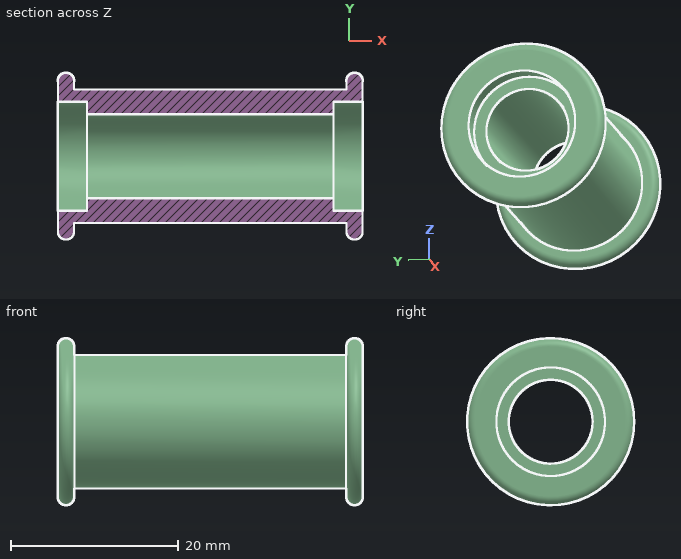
import cadquery as cq

length = 36.5
flange_diameter = 20.0
flange_thickness = 2.0
rim_radius = flange_thickness / 2
tube_diameter = 16.0
bore_diameter = 10.0
seat_diameter = 13.0
seat_depth = 3.5


def cylinder_along_x(diameter, start, span):
    """Solid cylinder on the X axis, beginning at X = start."""
    return cq.Workplane("YZ", origin=(start, 0, 0)).circle(diameter / 2).extrude(span)


def rounded_flange(start):
    """Disc whose rim is a half circle in section."""
    rim_start = flange_diameter / 2 - rim_radius
    return (
        cq.Workplane("XY")
        .moveTo(start, 0)
        .lineTo(start, rim_start)
        .threePointArc(
            (start + rim_radius, flange_diameter / 2),
            (start + flange_thickness, rim_start),
        )
        .lineTo(start + flange_thickness, 0)
        .close()
        .revolve(360, (0, 0, 0), (1, 0, 0))
    )


left_end = -length / 2
right_end = length / 2

result = cylinder_along_x(tube_diameter, left_end, length)
for flange_start in (left_end, right_end - flange_thickness):
    result = result.union(rounded_flange(flange_start))

result = result.cut(cylinder_along_x(bore_diameter, left_end, length))
for seat_start in (left_end, right_end - seat_depth):
    result = result.cut(cylinder_along_x(seat_diameter, seat_start, seat_depth))